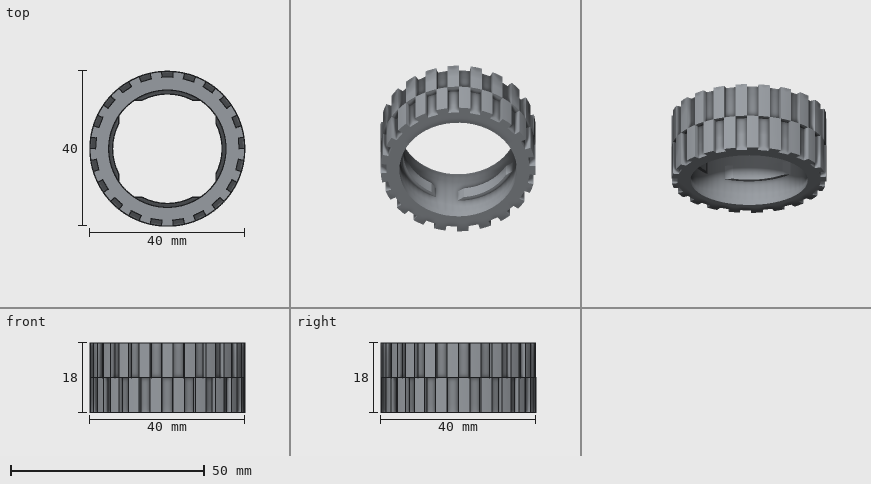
import cadquery as cq
import math

outer_radius = 20.0
bore_radius = 15.15
width = 18.0
row_width = width / 2

grooves_per_row = 21
groove_depth = 1.5
groove_pitch = 360 / grooves_per_row
groove_angle = groove_pitch / 2
upper_row_start = 90.0
lower_row_start = upper_row_start + groove_pitch / 2

rib_inner_radius = 14.1
square_opening = 25.0
rib_height = 3.8
rib_bottom = 6.7


def polar_point(radius, angle):
    """Point in the XY plane at a radius and an angle in degrees."""
    return (radius * math.cos(math.radians(angle)), radius * math.sin(math.radians(angle)))


def make_groove(center_angle, bottom):
    """Wedge with radial walls and a flat floor, one tread row tall."""
    half_angle = groove_angle / 2
    floor_radius = outer_radius - groove_depth
    cutter_radius = outer_radius + groove_depth
    start_angle = center_angle - half_angle
    end_angle = center_angle + half_angle
    return (
        cq.Workplane("XY", origin=(0, 0, bottom))
        .polyline([
            polar_point(floor_radius, start_angle),
            polar_point(cutter_radius, start_angle),
            polar_point(cutter_radius, end_angle),
            polar_point(floor_radius, end_angle),
        ])
        .close()
        .extrude(row_width)
    )


def cut_tread_row(body, start_angle, bottom):
    """Cut one row of evenly spaced grooves around the tyre."""
    for index in range(grooves_per_row):
        body = body.cut(make_groove(start_angle + index * groove_pitch, bottom))
    return body


def make_ribs():
    """Inner ring opened by the square so that four ribs remain."""
    rib_plane = cq.Workplane("XY", origin=(0, 0, rib_bottom))
    embedded_radius = (outer_radius - groove_depth + bore_radius) / 2
    ring = rib_plane.circle(embedded_radius).circle(rib_inner_radius).extrude(rib_height)
    opening = rib_plane.rect(square_opening, square_opening).extrude(rib_height)
    return ring.cut(opening)


tyre = cq.Workplane("XY").circle(outer_radius).circle(bore_radius).extrude(width)
tyre = cut_tread_row(tyre, lower_row_start, 0)
tyre = cut_tread_row(tyre, upper_row_start, row_width)
result = tyre.union(make_ribs())